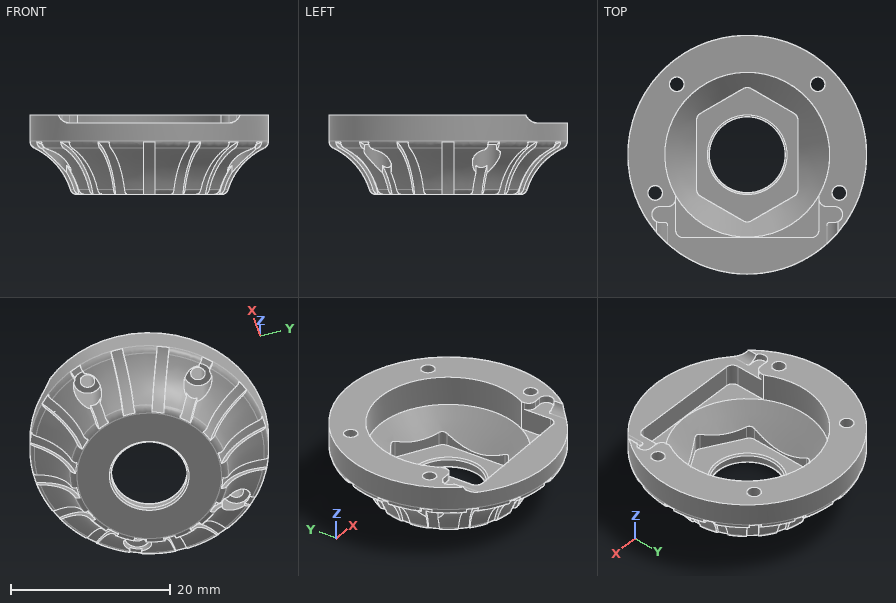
import cadquery as cq
import math

outer_radius = 15.0
height = 10.0
rim_bottom_z = 6.78
rim_fillet = 1.0
base_fillet = 0.9

flank_radius = 8.6
flank_centre_radius = 18.15
flank_centre_z = -1.95

groove_count = 16
groove_width = 1.5
groove_depth = 0.5

bore_radius = 10.35
bore_floor_z = 5.9
nut_floor_z = 1.5
cone_bottom_radius = bore_radius - (bore_floor_z - nut_floor_z)
shaft_hole_diameter = 9.5
shaft_hole_chamfer = 0.25

nut_half_width = 6.35
nut_slant_apothem = 7.45
nut_slant_angle = 30.0
nut_corner_radius = 1.0

screw_circle_radius = 12.5
screw_angles = (45.0, 135.0, 202.5, 337.5)
screw_hole_diameter = 1.8
counterbore_diameter = 3.5

pocket_half_width = 9.0
pocket_far_y = -10.4
pocket_corner_radius = 1.0
recess_floor_z = 9.0
recess_half_width = 10.0
recess_corner_radius = 0.35
lobe_centre_x = 10.98
lobe_centre_y = -7.5
lobe_radius = 1.0
runout_radius = 1.5


def flank_solid(inset):
    """Rim and flared base with a sharp rim edge, its flank moved inward by `inset`."""
    arc_radius = flank_radius + inset

    def flank_point(angle):
        return (
            flank_centre_radius - arc_radius * math.cos(angle),
            flank_centre_z + arc_radius * math.sin(angle),
        )

    base_angle = math.asin(-flank_centre_z / arc_radius)
    rim_angle = math.acos((flank_centre_radius - outer_radius) / arc_radius)
    return (
        cq.Workplane("XZ")
        .lineTo(*flank_point(base_angle))
        .threePointArc(flank_point((base_angle + rim_angle) / 2), flank_point(rim_angle))
        .lineTo(outer_radius, height)
        .lineTo(0, height)
        .close()
        .revolve(360, (0, 0, 0), (0, 1, 0))
    )


def prism(outline, bottom_z, top_z):
    """Extrude a closed sketch drawn on the XY plane between two heights."""
    return outline.extrude(top_z - bottom_z).translate((0, 0, bottom_z))


def grip_grooves():
    """Diametral bars overshooting the rim, trimmed to leave the groove floors."""
    bars = cq.Workplane("XY")
    for index in range(groove_count // 2):
        bar = (
            cq.Workplane("XY")
            .box(3 * outer_radius, groove_width, rim_bottom_z, centered=(True, True, False))
            .rotate((0, 0, 0), (0, 0, 1), index * 360 / groove_count)
        )
        bars = bars.union(bar)
    return bars.cut(flank_solid(groove_depth))


def stepped_bore():
    """Shaft hole chamfered at both ends, opening through a cone into the main bore."""
    hole_radius = shaft_hole_diameter / 2
    return (
        cq.Workplane("XZ")
        .lineTo(hole_radius + shaft_hole_chamfer, 0)
        .lineTo(hole_radius, shaft_hole_chamfer)
        .lineTo(hole_radius, nut_floor_z - shaft_hole_chamfer)
        .lineTo(hole_radius + shaft_hole_chamfer, nut_floor_z)
        .lineTo(cone_bottom_radius, nut_floor_z)
        .lineTo(bore_radius, bore_floor_z)
        .lineTo(bore_radius, height)
        .lineTo(0, height)
        .close()
        .revolve(360, (0, 0, 0), (0, 1, 0))
    )


def nut_seat():
    """Hexagon with tips on the Y axis and two flat sides facing +X and -X."""
    slant = math.radians(nut_slant_angle)
    tip_y = nut_slant_apothem / math.cos(slant)
    side_y = tip_y - nut_half_width * math.tan(slant)
    outline = cq.Workplane("XY").polyline([
        (0, tip_y),
        (nut_half_width, side_y),
        (nut_half_width, -side_y),
        (0, -tip_y),
        (-nut_half_width, -side_y),
        (-nut_half_width, side_y),
    ]).close()
    return prism(outline, nut_floor_z, bore_floor_z).edges("|Z").fillet(nut_corner_radius)


def screw_holes():
    holes = cq.Workplane("XY")
    for angle in screw_angles:
        centre = (
            screw_circle_radius * math.cos(math.radians(angle)),
            screw_circle_radius * math.sin(math.radians(angle)),
        )
        axis = cq.Workplane("XY").center(*centre)
        shank = axis.circle(screw_hole_diameter / 2).extrude(height)
        head = axis.circle(counterbore_diameter / 2).extrude(rim_bottom_z)
        holes = holes.union(shank).union(head)
    return holes


def pocket():
    """Rectangular widening of the bore, starting where its side walls meet the bore wall."""
    near_y = -math.sqrt(bore_radius**2 - pocket_half_width**2)
    outline = (
        cq.Workplane("XY")
        .center(0, (near_y + pocket_far_y) / 2)
        .rect(2 * pocket_half_width, near_y - pocket_far_y)
    )
    return prism(outline, bore_floor_z, height).edges("|Z and <Y").fillet(pocket_corner_radius)


def recess():
    """Shallow step open to the -Y rim, with a round-ended lobe and a curved runout on each side."""
    lobe_back_y = lobe_centre_y + lobe_radius
    lobe_front_y = lobe_centre_y - lobe_radius
    throat_y = lobe_back_y + lobe_radius
    rim_y = -outer_radius
    wall_x = recess_half_width
    corner = recess_corner_radius
    diagonal = math.sqrt(0.5)

    half = (
        cq.Workplane("XY")
        .moveTo(0, throat_y)
        .lineTo(pocket_half_width, throat_y)
        .radiusArc((pocket_half_width + lobe_radius, lobe_back_y), -lobe_radius)
        .lineTo(lobe_centre_x, lobe_back_y)
        .threePointArc((lobe_centre_x + lobe_radius, lobe_centre_y), (lobe_centre_x, lobe_front_y))
        .lineTo(wall_x + corner, lobe_front_y)
        .threePointArc(
            (wall_x + corner * (1 - diagonal), lobe_front_y - corner * (1 - diagonal)),
            (wall_x, lobe_front_y - corner),
        )
        .lineTo(wall_x, rim_y)
        .lineTo(0, rim_y)
        .close()
    )
    runout = (
        cq.Workplane("XZ", origin=(0, lobe_centre_y, 0))
        .center(wall_x, recess_floor_z + runout_radius)
        .circle(runout_radius)
        .extrude(lobe_centre_y - rim_y)
    )
    side = prism(half, recess_floor_z, height).union(runout)
    return side.union(side.mirror("YZ"))


body = flank_solid(0)
body = body.faces("<Z").edges().fillet(base_fillet)
body = body.edges(cq.selectors.RadiusNthSelector(-1)).edges("<Z").fillet(rim_fillet)

result = (
    body.cut(grip_grooves())
    .cut(stepped_bore())
    .cut(nut_seat())
    .cut(pocket())
    .cut(recess())
    .cut(screw_holes())
)